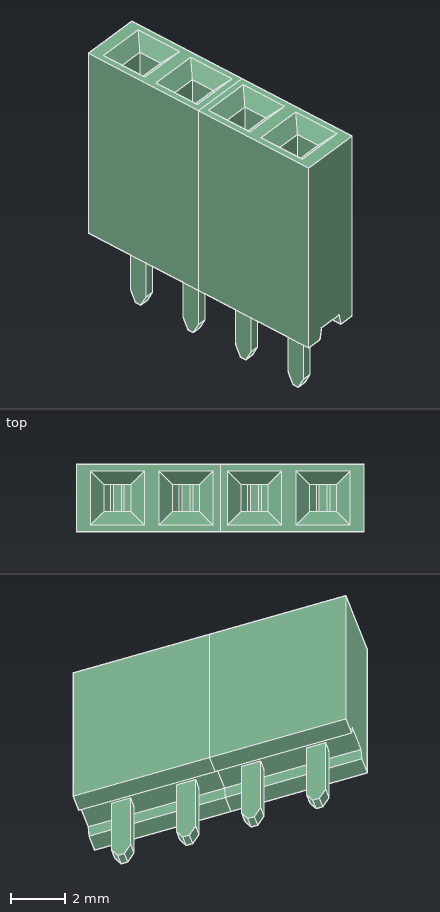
import cadquery as cq

total_height = 11.7
total_length = 10.66
body_depth = 2.5
body_height = 8.5
pitch = 2.54

mouth_side = 2.0
bore_side = 1.01
lead_in_depth = 0.5
straight_depth = 2.92
throat_width = 0.5
throat_run = 0.69
floor_width = 0.29

groove_height = 0.5
groove_roof_width = 1.01
groove_mouth_width = 1.19

pin_width = 0.75
pin_thickness = 0.4
tip_height = 0.5
tip_width = 0.26

module_length = total_length / 2
pin_end = body_height - total_height
throat_depth = straight_depth + throat_run
lead_in_slope = lead_in_depth / ((mouth_side - bore_side) / 2)
floor_depth = throat_depth + lead_in_slope * (throat_width - floor_width) / 2


def module_block(side):
    """Plain half of the housing, from the seam at X = 0 outward; side is -1 or 1."""
    return cq.Workplane("XY", origin=(side * module_length / 2, 0, 0)).box(
        module_length, body_depth, body_height, centered=(True, True, False)
    )


def underside_groove():
    """Trapezoidal groove running the whole length of both modules."""
    return (
        cq.Workplane("YZ")
        .polyline(
            [
                (-groove_mouth_width / 2, 0),
                (groove_mouth_width / 2, 0),
                (groove_roof_width / 2, groove_height),
                (-groove_roof_width / 2, groove_height),
            ]
        )
        .close()
        .extrude(module_length, both=True)
    )


def lead_in(x):
    """Square funnel at the top of a socket."""
    return (
        cq.Workplane("XY", origin=(x, 0, body_height))
        .rect(mouth_side, mouth_side)
        .workplane(offset=-lead_in_depth)
        .rect(bore_side, bore_side)
        .loft(ruled=True)
    )


def bore(x):
    """Straight bore below the funnel, narrowing in X to a throat and then to a flat floor."""
    return (
        cq.Workplane("XZ", origin=(x, 0, body_height))
        .polyline(
            [
                (-bore_side / 2, -lead_in_depth),
                (-bore_side / 2, -straight_depth),
                (-throat_width / 2, -throat_depth),
                (-floor_width / 2, -floor_depth),
                (floor_width / 2, -floor_depth),
                (throat_width / 2, -throat_depth),
                (bore_side / 2, -straight_depth),
                (bore_side / 2, -lead_in_depth),
            ]
        )
        .close()
        .extrude(bore_side / 2, both=True)
    )


def pin(x):
    """Flat pin hanging from the groove roof."""
    return (
        cq.Workplane("XZ", origin=(x, 0, 0))
        .polyline(
            [
                (-pin_width / 2, groove_height),
                (-pin_width / 2, pin_end + tip_height),
                (-tip_width / 2, pin_end),
                (tip_width / 2, pin_end),
                (pin_width / 2, pin_end + tip_height),
                (pin_width / 2, groove_height),
            ]
        )
        .close()
        .extrude(pin_thickness / 2, both=True)
    )


def socket_module(side):
    """Two-way socket with its pins, on the given side of the seam."""
    module = module_block(side).cut(underside_groove())
    for pitches_from_seam in (0.5, 1.5):
        x = side * pitches_from_seam * pitch
        module = module.cut(lead_in(x)).cut(bore(x)).union(pin(x))
    return module


modules = [socket_module(side) for side in (-1, 1)]

result = cq.Compound.makeCompound([module.val() for module in modules])